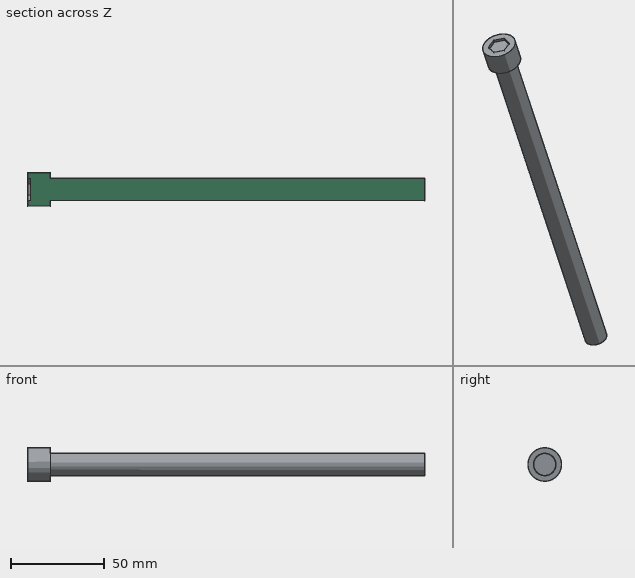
import cadquery as cq
import math

total_length = 212.0
shank_diameter = 12.0
head_diameter = 18.0
head_height = shank_diameter
socket_across_flats = 10.0
socket_depth = 1.5
tip_chamfer = 0.2

shank_length = total_length - head_height


def make_head():
    return cq.Workplane("YZ").circle(head_diameter / 2).extrude(head_height)


def make_shank():
    shank = (
        cq.Workplane("YZ")
        .workplane(offset=head_height)
        .circle(shank_diameter / 2)
        .extrude(shank_length)
    )
    return shank.faces(">X").chamfer(tip_chamfer)


def make_socket():
    across_corners = socket_across_flats / math.cos(math.pi / 6)
    return cq.Workplane("YZ").polygon(6, across_corners).extrude(socket_depth)


result = make_head().union(make_shank()).cut(make_socket())